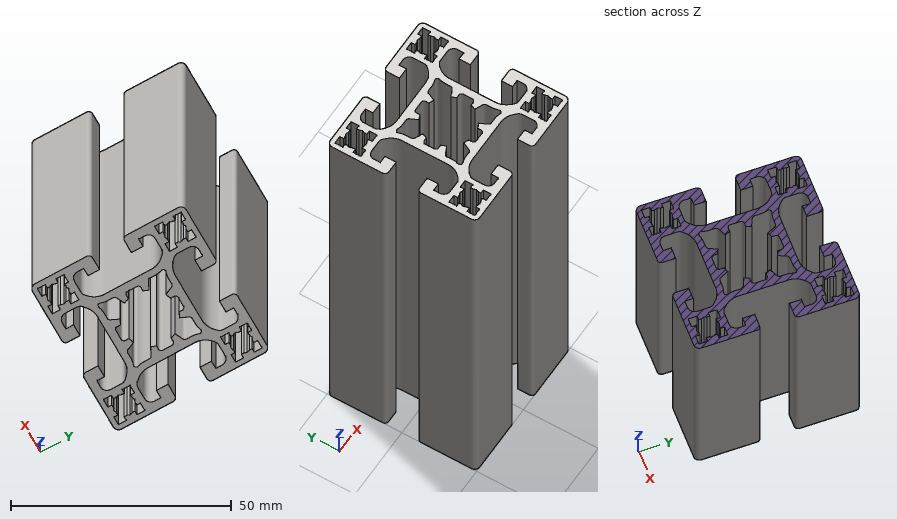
import cadquery as cq
import math

side = 40.0
length = 100.0
half_side = side / 2
outer_corner_radius = 1.4

slot_opening = 8.3
slot_lip_radius = 1.0
hook_depth = 4.2
hook_width = 3.0
flange_thickness = 2.2
slot_half_width = 10.5
slot_corner_radius = 1.7
slot_floor = 10.1
flank_offset = 2.0
flank_floor_radius = 4.8

tube_wall = 1.3
tube_rib_width = 2.8
tube_rib_spacing = 4.9
rib_notch_width = 1.4
rib_notch_depth = 0.25

cavity_corner = 9.1
cavity_corner_radius = 0.6
cavity_wall_height = 8.4
wall_bend_half_width = 7.0
wall_bend_radius = 5.0
tooth_root_half_width = 4.3
tooth_root_radius = 0.8
tooth_tip_half_width = 3.2
tooth_tip_height = 6.0
groove_half_width = 1.9
groove_mouth_height = 6.5
groove_floor_height = 8.1
groove_corner_radius = 0.7

side_angles = (0, 90, 180, 270)


def rotate_corner(corner, degrees):
    """Turn an (x, y, radius) corner about the origin."""
    x, y, radius = corner
    angle = math.radians(degrees)
    return (
        x * math.cos(angle) - y * math.sin(angle),
        x * math.sin(angle) + y * math.cos(angle),
        radius,
    )


def four_sided(end_corner, half_corners, middle_corners=()):
    """Closed corner list: half of the +Y side is mirrored, then repeated on all four sides.

    Corners on the mirror line go in middle_corners, so that they are not doubled.
    """
    mirrored = [(-x, y, radius) for x, y, radius in reversed(half_corners)]
    one_side = [end_corner, *half_corners, *middle_corners, *mirrored]
    return [rotate_corner(corner, angle) for angle in side_angles for corner in one_side]


def round_corner(previous, corner, following):
    """Start, middle and end of the arc that rounds a corner."""
    point = cq.Vector(corner[0], corner[1])
    radius = corner[2]
    back = (cq.Vector(previous[0], previous[1]) - point).normalized()
    ahead = (cq.Vector(following[0], following[1]) - point).normalized()
    half_angle = back.getAngle(ahead) / 2
    setback = radius / math.tan(half_angle)
    middle_distance = radius / math.sin(half_angle) - radius
    bisector = (back + ahead).normalized()
    return (
        point + back * setback,
        point + bisector * middle_distance,
        point + ahead * setback,
    )


def extrude_outline(corners):
    """Prism over a closed outline of (x, y, radius) corners; radius 0 stays sharp."""
    edges = []
    ends = []
    for i, corner in enumerate(corners):
        if corner[2] == 0:
            point = cq.Vector(corner[0], corner[1])
            ends.append((point, point))
        else:
            following = corners[(i + 1) % len(corners)]
            start, middle, end = round_corner(corners[i - 1], corner, following)
            edges.append(cq.Edge.makeThreePointArc(start, middle, end))
            ends.append((start, end))
    for i, (start, _) in enumerate(ends):
        previous_end = ends[i - 1][1]
        edges.append(cq.Edge.makeLine(previous_end, start))
    wire = cq.Wire.assembleEdges(edges)
    return cq.Workplane("XY").add(wire).toPending().extrude(length)


def make_body():
    """Outer profile with a T-slot in the middle of every side."""
    half_opening = slot_opening / 2
    hook_inner = half_opening + hook_width
    hook_bottom = half_side - hook_depth
    flange_bottom = half_side - flange_thickness
    outer_corner = (half_side, half_side, outer_corner_radius)
    half_slot = [
        (half_opening, half_side, slot_lip_radius),
        (half_opening, hook_bottom, 0),
        (hook_inner, hook_bottom, 0),
        (hook_inner, flange_bottom, 0),
        (slot_half_width, flange_bottom, slot_corner_radius),
        (slot_half_width, slot_half_width + flank_offset, slot_corner_radius),
        (slot_floor - flank_offset, slot_floor, flank_floor_radius),
    ]
    return extrude_outline(four_sided(outer_corner, half_slot))


def make_tube_cavity():
    """Hollow of the tube in the +X +Y corner."""
    inner = slot_half_width + tube_wall
    outer = half_side - tube_wall
    center = (inner + outer) / 2
    half_width = (outer - inner) / 2
    half_rib = tube_rib_width / 2
    rib_tip = tube_rib_spacing / 2

    tube_corner = (half_width, half_width, 0)
    half_rib_corners = [
        (half_rib, half_width, 0),
        (half_rib, rib_tip, 0),
        (rib_notch_width / 2, rib_tip, 0),
    ]
    notch_corner = (0, rib_tip + rib_notch_depth, 0)
    cavity = extrude_outline(four_sided(tube_corner, half_rib_corners, [notch_corner]))
    return cavity.translate((center, center, 0))


def make_center_cavity():
    """Toothed hollow on the profile axis."""
    end_corner = (cavity_corner, cavity_corner, cavity_corner_radius)
    half_wall = [
        (wall_bend_half_width, cavity_wall_height, wall_bend_radius),
        (tooth_root_half_width, cavity_wall_height, tooth_root_radius),
        (tooth_tip_half_width, tooth_tip_height, 0),
        (groove_half_width, groove_mouth_height, 0),
        (groove_half_width, groove_floor_height, groove_corner_radius),
    ]
    return extrude_outline(four_sided(end_corner, half_wall))


result = make_body().cut(make_center_cavity())
tube_cavity = make_tube_cavity()
for angle in side_angles:
    result = result.cut(tube_cavity.rotate((0, 0, 0), (0, 0, 1), angle))